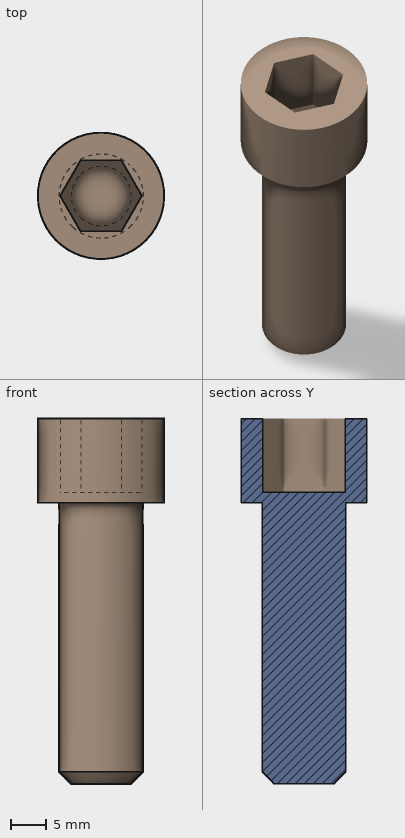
import cadquery as cq
import math

thread_diameter = 12.0
thread_pitch = 1.75
head_diameter = 1.5 * thread_diameter
head_height = thread_diameter
shank_length = 40.0

rim_radius = 0.0275

neck_length = 4.0
neck_flare = 0.0025

tip_length = thread_pitch

socket_across_flats = 10.07
socket_depth = 10.5


def make_body():
    """Revolve the half profile of head, neck, shank and tip, then round the rim."""
    head_radius = head_diameter / 2
    shank_radius = thread_diameter / 2
    profile = (
        cq.Workplane("YZ")
        .moveTo(0, head_height)
        .lineTo(head_radius, head_height)
        .lineTo(head_radius, 0)
        .lineTo(shank_radius + neck_flare, 0)
        .lineTo(shank_radius, -neck_length)
        .lineTo(shank_radius, tip_length - shank_length)
        .lineTo(shank_radius - tip_length, -shank_length)
        .lineTo(0, -shank_length)
        .close()
    )
    body = profile.revolve(360, (0, 0, 0), (0, 1, 0))
    return body.faces(">Z").edges().fillet(rim_radius)


def make_socket():
    """Hexagonal prism reaching down from the top of the head."""
    across_corners = socket_across_flats / math.cos(math.pi / 6)
    return (
        cq.Workplane("XY")
        .workplane(offset=head_height - socket_depth)
        .polygon(6, across_corners)
        .extrude(socket_depth)
    )


result = make_body().cut(make_socket())